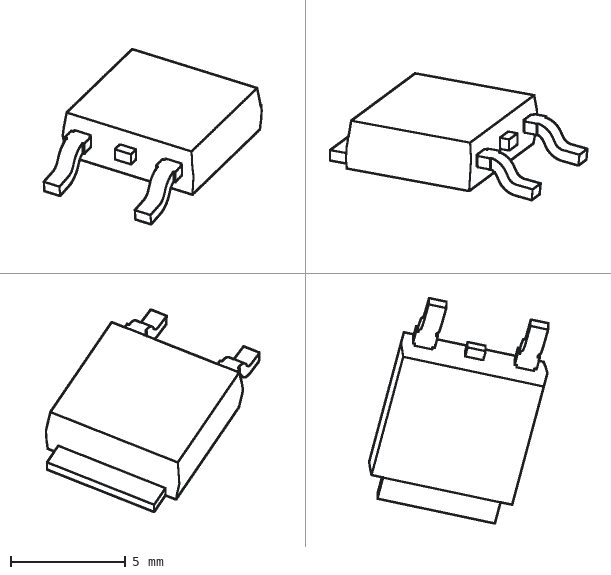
import cadquery as cq
import math


housing_width = 6.58
housing_top_width = 6.28
housing_bottom_width = 6.32
housing_height = 2.28
parting_height = 1.07
housing_length = 6.11
front_top_inset = 0.09
front_bottom_inset = 0.13
rear_top_inset = 0.21

tab_width = 5.28
tab_thickness = 0.5
overall_length = 9.92

lead_spacing = 4.57
lead_width = 0.79
lead_thickness = 0.53
lead_top = 1.56
lead_bottom = lead_top - lead_thickness
lead_reach = 2.74
bend_start = 0.53
bend_angle = math.radians(63)
foot_angle = math.radians(5.5)
inner_radius = 0.5
outer_radius = inner_radius + lead_thickness
slope_length = 0.26
shoulder_width = 0.98
shoulder_start = 0.1
shoulder_end = 0.69
stub_width = 0.81
stub_length = 0.46

tab_length = overall_length - lead_reach - housing_length


def make_housing():
    """Block whose side profile and front profile both taper away from the parting line."""
    side_profile = (
        cq.Workplane("YZ")
        .polyline([
            (front_bottom_inset, 0),
            (housing_length, 0),
            (housing_length, tab_thickness),
            (housing_length - rear_top_inset, housing_height),
            (front_top_inset, housing_height),
            (0, lead_top),
            (0, parting_height),
        ])
        .close()
        .extrude(housing_width / 2, both=True)
    )
    front_profile = (
        cq.Workplane("XZ")
        .polyline([
            (-housing_bottom_width / 2, 0),
            (housing_bottom_width / 2, 0),
            (housing_width / 2, parting_height),
            (housing_top_width / 2, housing_height),
            (-housing_top_width / 2, housing_height),
            (-housing_width / 2, parting_height),
        ])
        .close()
        .extrude(-housing_length)
    )
    return side_profile.intersect(front_profile)


def make_tab():
    """Flat plate against the foot of the rear face, flush with the underside."""
    return cq.Workplane("XY").box(
        tab_width, tab_length, tab_thickness, centered=(True, False, False)
    ).translate((0, housing_length, 0))


def make_stub():
    """Short middle lead that ends just in front of the housing."""
    return cq.Workplane("XY").box(
        stub_width, stub_length, lead_thickness, centered=(True, False, False)
    ).translate((0, -stub_length, lead_bottom))


def bent_strip(width):
    """Gull-wing strip: level root, downward bend, slope, reverse bend and sloping foot."""
    upper_centre = (-bend_start, lead_bottom - inner_radius)
    centre_distance = inner_radius + outer_radius
    lower_centre = (
        upper_centre[0]
        - centre_distance * math.sin(bend_angle)
        - slope_length * math.cos(bend_angle),
        upper_centre[1]
        + centre_distance * math.cos(bend_angle)
        - slope_length * math.sin(bend_angle),
    )

    def on_upper_bend(radius, angle):
        y, z = upper_centre
        return (y - radius * math.sin(angle), z + radius * math.cos(angle))

    def on_lower_bend(radius, angle):
        y, z = lower_centre
        return (y + radius * math.sin(angle), z - radius * math.cos(angle))

    upper_middle = bend_angle / 2
    lower_middle = (bend_angle + foot_angle) / 2

    foot_start = on_lower_bend(inner_radius, foot_angle)
    foot_run = lead_reach + foot_start[0]
    tip_top = (-lead_reach, foot_start[1] - foot_run * math.tan(foot_angle))
    tip_bottom = (
        tip_top[0] + lead_thickness * math.sin(foot_angle),
        tip_top[1] - lead_thickness * math.cos(foot_angle),
    )

    return (
        cq.Workplane("YZ")
        .moveTo(0, lead_top)
        .lineTo(-bend_start, lead_top)
        .threePointArc(on_upper_bend(outer_radius, upper_middle), on_upper_bend(outer_radius, bend_angle))
        .lineTo(*on_lower_bend(inner_radius, bend_angle))
        .threePointArc(on_lower_bend(inner_radius, lower_middle), foot_start)
        .lineTo(*tip_top)
        .lineTo(*tip_bottom)
        .lineTo(*on_lower_bend(outer_radius, foot_angle))
        .threePointArc(on_lower_bend(outer_radius, lower_middle), on_lower_bend(outer_radius, bend_angle))
        .lineTo(*on_upper_bend(inner_radius, bend_angle))
        .threePointArc(on_upper_bend(inner_radius, upper_middle), (-bend_start, lead_bottom))
        .lineTo(0, lead_bottom)
        .close()
        .extrude(width / 2, both=True)
    )


def make_lead(x):
    """Bent strip whose shoulder is a wider stretch of the same bent shape."""
    shoulder_range = cq.Workplane("XY").box(
        shoulder_width, shoulder_end - shoulder_start, lead_top, centered=(True, False, False)
    ).translate((0, -shoulder_end, 0))
    shoulder = bent_strip(shoulder_width).intersect(shoulder_range)
    return bent_strip(lead_width).union(shoulder).translate((x, 0, 0))


housing = make_housing()
tab = make_tab()
stub = make_stub()
leads = [make_lead(side * lead_spacing / 2) for side in (-1, 1)]

result = cq.Compound.makeCompound([
    housing.solids().val(),
    tab.val(),
    stub.val(),
    *[lead.solids().val() for lead in leads],
])